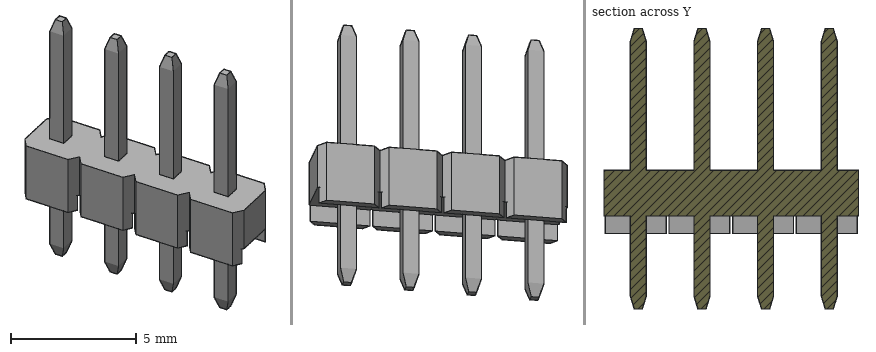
import cadquery as cq

pin_count = 4
total_length = 10.16
pitch = total_length / pin_count

body_width = 2.5
body_height = 2.53
corner_x = 0.3
corner_y = 0.4

channel_width = 1.83
channel_depth = 0.7

pin_side = 0.65
pin_length = 11.2
pin_below_body = 3.01
tip_side = 0.32
tip_length = 0.53
pin_offset_x = -0.1


def segment_center(index):
    """X position of the middle of one body segment."""
    return (index - (pin_count - 1) / 2) * pitch


def make_body():
    """Chamfered segments joined end to end, leaving V notches between them."""
    half_length = pitch / 2
    half_width = body_width / 2
    flat_x = half_length - corner_x
    flat_y = half_width - corner_y
    segment = (
        cq.Workplane("XY")
        .polyline([
            (-half_length, -flat_y),
            (-flat_x, -half_width),
            (flat_x, -half_width),
            (half_length, -flat_y),
            (half_length, flat_y),
            (flat_x, half_width),
            (-flat_x, half_width),
            (-half_length, flat_y),
        ])
        .close()
        .extrude(body_height)
    )
    body = segment.translate((segment_center(0), 0, 0))
    for index in range(1, pin_count):
        body = body.union(segment.translate((segment_center(index), 0, 0)))

    channel = cq.Workplane("XY").box(
        total_length, channel_width, channel_depth, centered=(True, True, False)
    )
    return body.cut(channel)


def make_tip():
    """Tapered pin end, widest at Z = 0 and narrowing upward."""
    return (
        cq.Workplane("XY")
        .rect(pin_side, pin_side)
        .workplane(offset=tip_length)
        .rect(tip_side, tip_side)
        .loft(ruled=True)
    )


def make_pin():
    """Square pin with its lower end at Z = 0 and a tapered tip at each end."""
    shank_length = pin_length - 2 * tip_length
    shank = cq.Workplane("XY").box(
        pin_side, pin_side, shank_length, centered=(True, True, False)
    )
    upper_tip = make_tip().translate((0, 0, shank_length))
    lower_tip = make_tip().mirror("XY")
    return shank.union(upper_tip).union(lower_tip).translate((0, 0, tip_length))


result = make_body()
pin = make_pin()
for index in range(pin_count):
    pin_x = segment_center(index) + pin_offset_x
    result = result.union(pin.translate((pin_x, 0, -pin_below_body)))